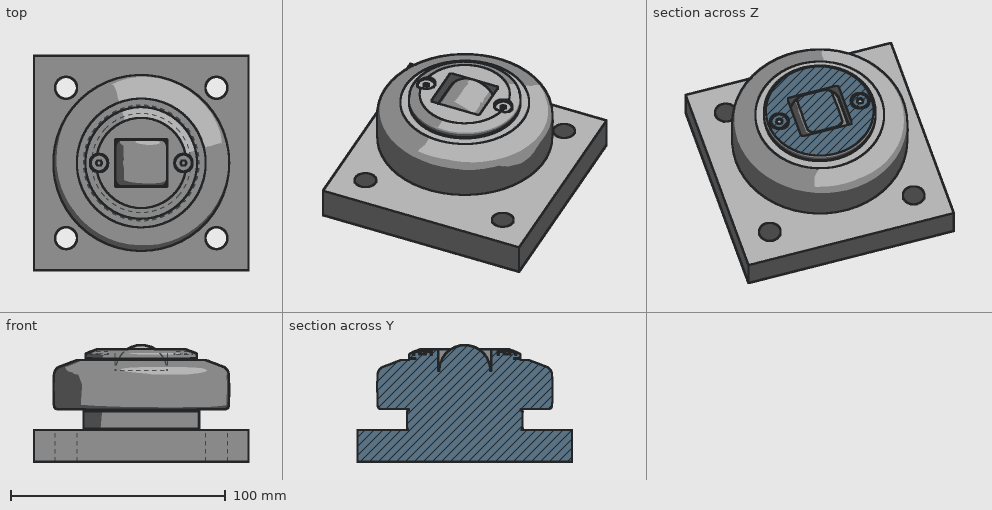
import cadquery as cq
import math

PLATE_SIDE = 100.0
PLATE_THICKNESS = 15.0
MOUNTING_PITCH = 70.0
MOUNTING_HOLE_DIAMETER = 10.11

NECK_DIAMETER = 54.0
NECK_TOP = 24.0
NECK_CHAMFER = 0.5
LOWER_GAP_DIAMETER = 52.0

ROLLER_BOTTOM = 24.5
ROLLER_TOP = 47.5
ROLLER_EDGE_RADIUS = 40.8
ROLLER_CROWN_RADIUS = 41.0
ROLLER_BOTTOM_FILLET = 2.0
RUNNING_SURFACE_TOP = 40.5
SHOULDER_RADIUS = 38.4
SHOULDER_HEIGHT = 44.3
ROLLER_TOP_RADIUS = 30.0

COVER_DIAMETER = 52.0
GROOVE_DIAMETER = 46.2
GROOVE_BOTTOM = 48.0
COVER_BOTTOM = 48.25
COVER_SIDE_TOP = 49.8
COVER_CONE_RADIUS = 25.3
COVER_CONE_BOTTOM = 50.7
COVER_FLAT_RADIUS = 21.0
COVER_TOP = 52.5

AXIAL_ROLLER_RADIUS = 12.0
AXIAL_ROLLER_LENGTH = 21.6
AXIAL_ROLLER_CROWN = 0.1
AXIAL_ROLLER_FILLET = 2.7
AXIAL_ROLLER_TOP = 54.5
POCKET_LENGTH_X = 24.6
POCKET_LENGTH_Y = 22.3
POCKET_CORNER_RADIUS = 1.0

SCREW_OFFSET = 19.65
SCREW_BORE_DIAMETER = 8.6
SCREW_HEAD_DIAMETER = 7.8
SCREW_HEAD_TOP = 51.4
SCREW_BORE_FLOOR = 50.0
SOCKET_ACROSS_FLATS = 2.5
SOCKET_DEPTH = 1.2


def make_plate():
    """Square plate standing on Z = 0 with four through holes."""
    return (
        cq.Workplane("XY")
        .rect(PLATE_SIDE, PLATE_SIDE)
        .extrude(PLATE_THICKNESS)
        .faces(">Z")
        .workplane()
        .rect(MOUNTING_PITCH, MOUNTING_PITCH, forConstruction=True)
        .vertices()
        .hole(MOUNTING_HOLE_DIAMETER)
    )


def make_turned_body():
    """Neck, crowned roller, groove and cover, revolved about Z as one profile."""
    lower_fillet_top = ROLLER_BOTTOM + ROLLER_BOTTOM_FILLET
    crown_height = (lower_fillet_top + RUNNING_SURFACE_TOP) / 2
    profile = (
        cq.Workplane("XZ")
        .moveTo(0, PLATE_THICKNESS)
        .lineTo(NECK_DIAMETER / 2 - NECK_CHAMFER, PLATE_THICKNESS)
        .lineTo(NECK_DIAMETER / 2, PLATE_THICKNESS + NECK_CHAMFER)
        .lineTo(NECK_DIAMETER / 2, NECK_TOP - NECK_CHAMFER)
        .lineTo(NECK_DIAMETER / 2 - NECK_CHAMFER, NECK_TOP)
        .lineTo(LOWER_GAP_DIAMETER / 2, NECK_TOP)
        .lineTo(LOWER_GAP_DIAMETER / 2, ROLLER_BOTTOM)
        .lineTo(ROLLER_EDGE_RADIUS - ROLLER_BOTTOM_FILLET, ROLLER_BOTTOM)
        .tangentArcPoint((ROLLER_EDGE_RADIUS, lower_fillet_top), relative=False)
        .threePointArc((ROLLER_CROWN_RADIUS, crown_height), (ROLLER_EDGE_RADIUS, RUNNING_SURFACE_TOP))
        .tangentArcPoint((SHOULDER_RADIUS, SHOULDER_HEIGHT), relative=False)
        .lineTo(ROLLER_TOP_RADIUS, ROLLER_TOP)
        .lineTo(COVER_DIAMETER / 2, ROLLER_TOP)
        .lineTo(COVER_DIAMETER / 2, GROOVE_BOTTOM)
        .lineTo(GROOVE_DIAMETER / 2, GROOVE_BOTTOM)
        .lineTo(GROOVE_DIAMETER / 2, COVER_BOTTOM)
        .lineTo(COVER_DIAMETER / 2, COVER_BOTTOM)
        .lineTo(COVER_DIAMETER / 2, COVER_SIDE_TOP)
        .tangentArcPoint((COVER_CONE_RADIUS, COVER_CONE_BOTTOM), relative=False)
        .lineTo(COVER_FLAT_RADIUS, COVER_TOP)
        .lineTo(0, COVER_TOP)
        .close()
    )
    return profile.revolve(360, (0, 0, 0), (0, 1, 0))


def make_pocket():
    """Rectangular pocket reaching down to the axis of the axial roller."""
    floor = AXIAL_ROLLER_TOP - AXIAL_ROLLER_RADIUS
    return (
        cq.Workplane("XY", origin=(0, 0, floor))
        .rect(POCKET_LENGTH_X, POCKET_LENGTH_Y)
        .extrude(COVER_TOP - floor)
        .edges("|Z")
        .fillet(POCKET_CORNER_RADIUS)
    )


def make_axial_roller():
    """Crowned roller along Y with rounded ends; its lower half is buried in the body."""
    half_length = AXIAL_ROLLER_LENGTH / 2
    crown_end = half_length - AXIAL_ROLLER_FILLET
    edge_radius = AXIAL_ROLLER_RADIUS - AXIAL_ROLLER_CROWN
    end_radius = edge_radius - AXIAL_ROLLER_FILLET
    axis_height = AXIAL_ROLLER_TOP - AXIAL_ROLLER_RADIUS
    profile = (
        cq.Workplane("XY", origin=(0, 0, axis_height))
        .moveTo(0, -half_length)
        .lineTo(end_radius, -half_length)
        .tangentArcPoint((edge_radius, -crown_end), relative=False)
        .threePointArc((AXIAL_ROLLER_RADIUS, 0), (edge_radius, crown_end))
        .radiusArc((end_radius, half_length), -AXIAL_ROLLER_FILLET)
        .lineTo(0, half_length)
        .close()
    )
    return profile.revolve(360, (0, 0, 0), (0, 1, 0))


def make_screw_bore(x):
    """Cutter for the bore that sinks a screw head into the cover."""
    return (
        cq.Workplane("XY", origin=(x, 0, SCREW_BORE_FLOOR))
        .circle(SCREW_BORE_DIAMETER / 2)
        .extrude(COVER_TOP - SCREW_BORE_FLOOR)
    )


def make_screw_head(x):
    """Cylindrical screw head with a hexagon socket, standing on the bore floor."""
    across_corners = SOCKET_ACROSS_FLATS / math.cos(math.pi / 6)
    return (
        cq.Workplane("XY", origin=(x, 0, SCREW_BORE_FLOOR))
        .circle(SCREW_HEAD_DIAMETER / 2)
        .extrude(SCREW_HEAD_TOP - SCREW_BORE_FLOOR)
        .faces(">Z")
        .workplane()
        .polygon(6, across_corners)
        .cutBlind(-SOCKET_DEPTH)
    )


result = make_plate().union(make_turned_body())
result = result.cut(make_pocket()).union(make_axial_roller())
for screw_x in (-SCREW_OFFSET, SCREW_OFFSET):
    result = result.cut(make_screw_bore(screw_x)).union(make_screw_head(screw_x))